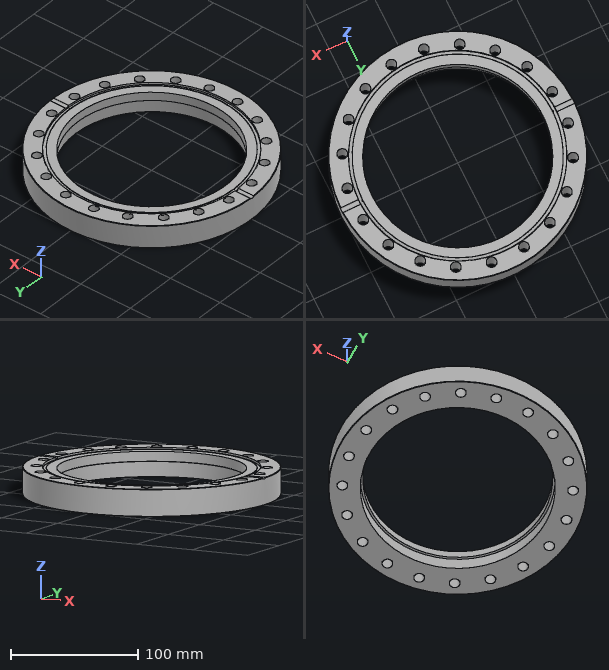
import cadquery as cq

outer_diameter = 203.0
thickness = 22.0
rim_chamfer = 0.5

bore_diameter = 149.0
socket_diameter = 152.9
socket_depth = 12.5

recess_diameter = 171.3
knife_tip_depth = 0.8
knife_diameter = 165.6
knife_slope_depth = 1.8
inner_face_depth = 1.2

bolt_count = 20
bolt_hole_diameter = 8.3
bolt_circle_diameter = 181.0

groove_width = 4.3
groove_depth = 1.0


def flange_body():
    """Revolve the ring section, including the recess, knife edge and socket."""
    bore = bore_diameter / 2
    socket = socket_diameter / 2
    outer = outer_diameter / 2
    recess = recess_diameter / 2
    section = (
        cq.Workplane("XZ")
        .moveTo(socket, 0)
        .lineTo(outer - rim_chamfer, 0)
        .lineTo(outer, rim_chamfer)
        .lineTo(outer, thickness - rim_chamfer)
        .lineTo(outer - rim_chamfer, thickness)
        .lineTo(recess, thickness)
        .lineTo(recess, thickness - knife_slope_depth)
        .lineTo(knife_diameter / 2, thickness - knife_tip_depth)
        .lineTo(knife_diameter / 2, thickness - inner_face_depth)
        .lineTo(bore, thickness - inner_face_depth)
        .lineTo(bore, socket_depth)
        .lineTo(socket, socket_depth)
        .close()
    )
    return section.revolve(360, (0, 0, 0), (0, 1, 0))


def bolt_holes():
    """Through holes straddling the X axis by half a pitch."""
    return (
        cq.Workplane("XY")
        .polarArray(bolt_circle_diameter / 2, 180 / bolt_count, 360, bolt_count)
        .circle(bolt_hole_diameter / 2)
        .extrude(thickness)
    )


def leak_check_grooves():
    """Cut two aligned round-bottomed grooves across the rim, along the X axis."""
    half_width = groove_width / 2
    radius = (half_width**2 + groove_depth**2) / (2 * groove_depth)
    return (
        cq.Workplane("YZ")
        .center(0, thickness - groove_depth + radius)
        .circle(radius)
        .extrude(outer_diameter / 2, both=True)
    )


result = flange_body().cut(bolt_holes()).cut(leak_check_grooves())